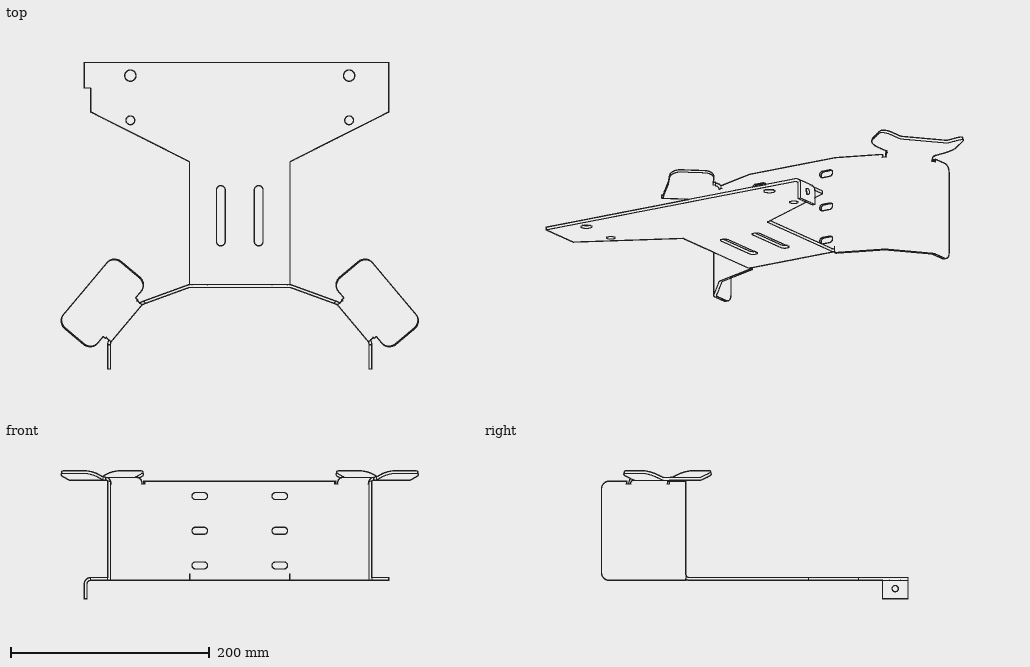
import cadquery as cq
import math

sheet = 3.0
bend_inner = 3.5
bend_outer = bend_inner + sheet

base_half_width = 150.2
base_straight_depth = 50.0
base_taper_end = 100.0
neck_half_width = 50.8
wall_front_y = -227.0
wall_back_y = wall_front_y + sheet

hole_x = 110.2
rear_hole_diameter = 11.0
rear_hole_y = -13.5
small_hole_diameter = 8.5
small_hole_y = -58.5
base_slot_x = 19.0
base_slot_y = -154.5
base_slot_length = 60.5
base_slot_width = 8.5

tab_width = 26.0
tab_height = 21.5
tab_hole_diameter = 6.0
tab_hole_drop = 11.0

wall_height = 100.0
trough_front_y = -309.0
wall_half_width = 51.5
panel_angle_1 = math.radians(20)
panel_angle_2 = math.radians(50)
panel_length_1 = 51.5
panel_length_2 = 51.5
end_corner_radius = 8.0

wall_slot_x = 40.5
wall_slot_pitch = 35.0
wall_slot_length = 15.5
wall_slot_width = 7.0

lip_base_z = 101.0
lip_bend_axis_z = lip_base_z - bend_inner
lip_width = 48.5
lip_relief_width = 56.0
lip_relief_depth = 4.0
lip_length = 48.0
lip_flap_inset = 3.0
lip_flap_length = 20.0
lip_flap_angle = math.radians(20)
lip_corner_radius = 10.5

corner_1 = (-wall_half_width, wall_back_y)
corner_2 = (
    corner_1[0] - panel_length_1 * math.cos(panel_angle_1),
    corner_1[1] - panel_length_1 * math.sin(panel_angle_1),
)
corner_3 = (
    corner_2[0] - panel_length_2 * math.cos(panel_angle_2),
    corner_2[1] - panel_length_2 * math.sin(panel_angle_2),
)


def mirrored(solid):
    """Copy of a solid reflected across the plane X = 0."""
    return solid.mirror("YZ")


def make_base():
    half_outline = [
        (0, 0),
        (-base_half_width, 0),
        (-base_half_width, -base_straight_depth),
        (-neck_half_width, -base_taper_end),
        (-neck_half_width, wall_back_y),
        (0, wall_back_y),
    ]
    half = cq.Workplane("XY").polyline(half_outline).close().extrude(sheet)
    plate = half.union(mirrored(half))
    for side in (-1, 1):
        rear_hole = cq.Workplane("XY").center(side * hole_x, rear_hole_y).circle(rear_hole_diameter / 2)
        small_hole = cq.Workplane("XY").center(side * hole_x, small_hole_y).circle(small_hole_diameter / 2)
        slot = cq.Workplane("XY").center(side * base_slot_x, base_slot_y)
        slot = slot.slot2D(base_slot_length, base_slot_width, 90)
        for opening in (rear_hole, small_hole, slot):
            plate = plate.cut(opening.extrude(sheet))
    return plate


def make_bend(length):
    """Quarter bend along +X: from upright at Y = -bend_inner up and over to Y = 0.

    The bend axis is the X axis and the upright side faces -Y.
    """
    ring = cq.Workplane("YZ").circle(bend_outer).circle(bend_inner).extrude(length)
    quarter = cq.Workplane("XY").box(length, bend_outer, bend_outer, centered=False)
    return ring.intersect(quarter.translate((0, -bend_outer, 0)))


def make_tab():
    axis_z = sheet - bend_outer
    leg_x = -base_half_width - bend_outer
    bend = make_bend(tab_width).rotate((0, 0, 0), (0, 0, 1), -90)
    bend = bend.translate((-base_half_width, 0, axis_z))
    leg_height = tab_height - bend_outer
    leg = cq.Workplane("XY").box(sheet, tab_width, leg_height, centered=False)
    leg = leg.translate((leg_x, -tab_width, sheet - tab_height))
    hole = cq.Workplane("YZ").center(-tab_width / 2, sheet - tab_hole_drop).circle(tab_hole_diameter / 2)
    hole = hole.extrude(sheet).translate((leg_x, 0, 0))
    return leg.union(bend).cut(hole)


def make_trough():
    """Bent upright strip, hollowed from a solid block so every bend keeps its radii."""
    left = [corner_1, corner_2, corner_3, (corner_3[0], trough_front_y)]
    right = [(-x, y) for x, y in reversed(left)]
    block = cq.Workplane("XY").polyline(left + right).close().extrude(wall_height)
    block = block.edges("|Z").edges("not <Y").fillet(bend_outer)
    strip = block.faces("<Y or >Z or <Z").shell(-sheet)
    strip = strip.faces("<Y").edges("|X").fillet(end_corner_radius)

    slots = (
        cq.Workplane("XZ", origin=(0, wall_back_y, wall_height / 2))
        .rarray(2 * wall_slot_x, wall_slot_pitch, 2, 3)
        .slot2D(wall_slot_length, wall_slot_width)
        .extrude(sheet)
    )
    return strip.cut(slots)


def place_on_panel(solid):
    """Move a solid from lip coordinates to the middle of the flat of the left angled panel.

    In lip coordinates X runs along the panel, Y points outward from its outer face.
    """
    setback_2 = bend_outer * math.tan((panel_angle_2 - panel_angle_1) / 2)
    setback_3 = bend_outer * math.tan((math.radians(90) - panel_angle_2) / 2)
    along = (panel_length_2 + setback_2 - setback_3) / 2
    middle_x = corner_2[0] - along * math.cos(panel_angle_2)
    middle_y = corner_2[1] - along * math.sin(panel_angle_2)
    turned = solid.rotate((0, 0, 0), (0, 0, 1), math.degrees(panel_angle_2))
    return turned.translate((middle_x, middle_y, 0))


def make_lip():
    """Bend, flat and two upturned flaps, in lip coordinates."""
    bend = make_bend(lip_width).translate((-lip_width / 2, bend_inner, lip_bend_axis_z))

    fold_x = lip_width / 2
    run = lip_flap_length * math.cos(lip_flap_angle)
    rise = lip_flap_length * math.sin(lip_flap_angle)
    tip_x = fold_x + run
    tip_z = sheet + rise
    half_outline = [
        (0, 0),
        (fold_x + sheet * math.tan(lip_flap_angle / 2), 0),
        (tip_x + sheet * math.sin(lip_flap_angle), tip_z - sheet * math.cos(lip_flap_angle)),
        (tip_x, tip_z),
        (fold_x, sheet),
        (0, sheet),
    ]
    half = cq.Workplane("XZ").polyline(half_outline).close().extrude(-lip_length)
    for fold_z, radius in ((sheet, bend_inner), (0, bend_outer)):
        fold = cq.selectors.NearestToPointSelector((fold_x, lip_length / 2, fold_z))
        half = half.edges(fold).fillet(radius)

    fold_setback = bend_outer * math.tan(lip_flap_angle / 2)
    notch = cq.Workplane("XY").box(2 * run, lip_flap_inset, tip_z, centered=False)
    half = half.cut(notch.translate((fold_x + fold_setback, 0, 0)))
    half = half.faces(">X").edges("not |Y").fillet(lip_corner_radius)

    plate = half.union(mirrored(half)).translate((0, bend_inner, lip_base_z))
    return plate.union(bend)


def make_lip_relief():
    """Top of the angled panel and its two bends, cleared for the lip, in lip coordinates."""
    height = wall_height - lip_bend_axis_z
    strip = cq.Workplane("XY").box(lip_relief_width, lip_relief_depth, height, centered=(True, False, False))
    return strip.translate((0, -lip_relief_depth, lip_bend_axis_z))


def make_wall_foot():
    """Inside bend between the base plate and the wall, and the outside corner it rounds off."""
    width = 2 * neck_half_width
    axis = (-neck_half_width, wall_front_y + bend_outer, bend_outer)
    corner = cq.Workplane("XY").box(width, bend_outer, bend_outer, centered=False)
    corner = corner.translate((-neck_half_width, wall_front_y, 0))
    bend = cq.Workplane("YZ", origin=axis).circle(bend_outer).circle(bend_inner).extrude(width)
    return corner, bend.intersect(corner)


foot_corner, foot_bend = make_wall_foot()
lip = place_on_panel(make_lip())
lip_relief = place_on_panel(make_lip_relief())

upright = make_trough().cut(lip_relief).cut(mirrored(lip_relief))
upright = upright.union(lip).union(mirrored(lip))
result = make_base().union(upright).cut(foot_corner).union(foot_bend).union(make_tab())